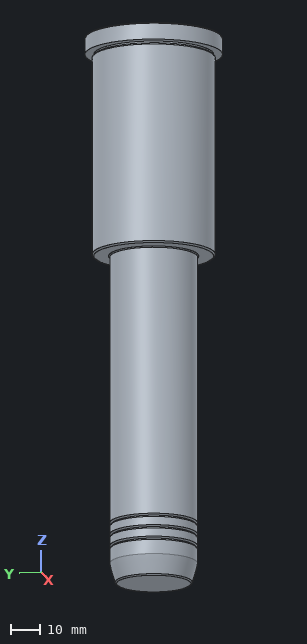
import cadquery as cq

total_length = 191.0
head_thickness = 6.0
shoulder_depth = 76.4
nose_length = 7.0

head_radius = 23.5
body_radius = 21.0
pin_radius = 30.0 / 2
nose_tip_radius = 13.2

head_chamfer = 0.4
body_chamfer = 0.5
pin_root_chamfer = 0.4
nose_bulge = 0.15
head_relief_width = 0.5
head_relief_depth = 0.5
tip_chamfer = 0.48
groove_count = 3
groove_pitch = 4.0
groove_depth = 0.5
lowest_groove_height = 12.6

head_underside = total_length - head_thickness
body_underside = total_length - shoulder_depth
nose_mid_radius = (nose_tip_radius + pin_radius) / 2 + nose_bulge

profile = (
    cq.Workplane("XZ")
    .lineTo(nose_tip_radius - tip_chamfer, 0)
    .lineTo(nose_tip_radius, tip_chamfer)
    .threePointArc(
        (nose_mid_radius, (nose_length + tip_chamfer) / 2),
        (pin_radius, nose_length),
    )
    .lineTo(pin_radius, body_underside - pin_root_chamfer)
    .lineTo(pin_radius + pin_root_chamfer, body_underside)
    .lineTo(body_radius - body_chamfer, body_underside)
    .lineTo(body_radius, body_underside + body_chamfer)
    .lineTo(body_radius, head_underside - head_relief_width - head_relief_depth)
    .lineTo(body_radius - head_relief_depth, head_underside - head_relief_width)
    .lineTo(body_radius - head_relief_depth, head_underside)
    .lineTo(head_radius, head_underside)
    .lineTo(head_radius, total_length - head_chamfer)
    .lineTo(head_radius - head_chamfer, total_length)
    .lineTo(0, total_length)
    .close()
)
result = profile.revolve(360, (0, 0, 0), (0, 1, 0))

for index in range(groove_count):
    groove_height = lowest_groove_height + index * groove_pitch
    groove = (
        cq.Workplane("XZ")
        .moveTo(pin_radius - groove_depth, groove_height)
        .lineTo(pin_radius + groove_depth, groove_height + 2 * groove_depth)
        .lineTo(pin_radius + groove_depth, groove_height - 2 * groove_depth)
        .close()
        .revolve(360, (0, 0, 0), (0, 1, 0))
    )
    result = result.cut(groove)